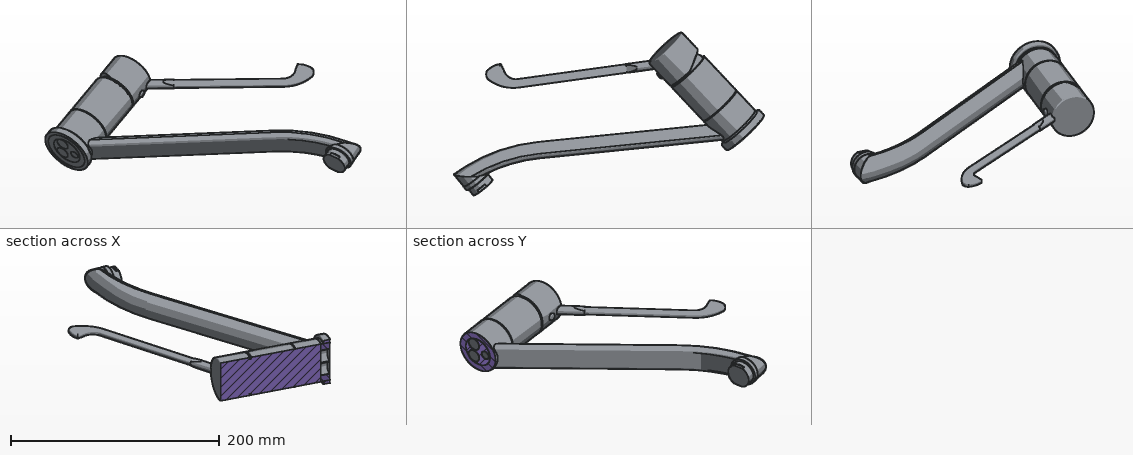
import cadquery as cq
import math


column_radius = 43.2 / 2
flange_radius = 49.5 / 2
flange_height = 7.0
flange_rounding = 1.0
column_top = 81.0
groove_height = 35.5
groove_width = 0.8
groove_depth = 0.3

neck_radius = 20.0
neck_top = 91.3
neck_rounding = neck_top - column_top

cap_bottom = 82.5
cap_top = 112.8
cap_rounding = 1.3
relief_start_x = -4.1
relief_rise = 7.5
button_height = 96.2
button_radius = 3.5
button_face_x = 23.3
button_rounding = 0.8

recess_radius = 21.0
recess_depth = 9.0
plug_floor = 0.65
shank_radius = 15.0
hose_hole_radius = 6.2
hose_hole_x = -5.0
hose_hole_z = 7.0
stud_hole_radius = 4.1
stud_hole_x = 8.8

spout_angle = 36.9
spout_bend = 32.0
spout_start = (13.0, 5.7)
spout_straight = 185.0
spout_bend_radius = 145.0
spout_half_width = 13.7
spout_corner_width = 4.1
spout_corner_height = 5.5
spout_height = 14.2

outlet_x = 220.2
outlet_tilt = 4.0
sleeve_radius = 13.7
lip_radius = 14.0
lip_height = 4.7
sleeve_bottom = 139.2
sleeve_length = 41.5
mitre_corner = (231.8, 158.9)
mitre_angle = 42.0
mitre_reach = 54.3
nozzle_radius = 12.0
nozzle_length = 8.0
nozzle_flat_width = 9.3
nozzle_flat_height = 2.8

lever_start = (15.5, 105.3)
lever_angle = 34.8
rod_radius = 4.5
blade_width = 8.3
blade_thickness = 4.7
blade_rounding = 1.5
taper_start = 20.5
taper_length = 10.5
blade_start = taper_start + taper_length / 2
blade_end = 135.8
head_outer_radius = 38.8
head_outer_turn = 45.0
head_inner_radius = 12.0
head_inner_turn = 84.0
head_top_start = (141.0, 212.0)
head_top_mid = (135.0, 211.6)
head_tip = (126.5, 208.0)


def direction(angle):
    """Unit vector in the XY plane at an angle from +X."""
    return math.cos(math.radians(angle)), math.sin(math.radians(angle))


def step(start, angle, along, across=0.0):
    """The point reached from start by moving along a direction and to its left."""
    cosine, sine = direction(angle)
    return (
        start[0] + along * cosine - across * sine,
        start[1] + along * sine + across * cosine,
    )


def upright(radius, bottom, top, x=0.0, z=0.0):
    """A cylinder parallel to Y."""
    return cq.Workplane("XZ", origin=(x, bottom, z)).circle(radius).extrude(bottom - top)


def section_plane(point, angle):
    """Plane across a path in the XY plane, with its local y to the left of the path."""
    return cq.Plane(origin=(*point, 0), xDir=(0, 0, -1), normal=(*direction(angle), 0))


def make_column():
    """Flanged column with a fine groove, and the domed neck that carries the cap."""
    flange = upright(flange_radius, 0, flange_height).faces(">Y").edges().fillet(flange_rounding)
    groove_top = groove_height + groove_width
    groove = upright(column_radius, groove_height, groove_top)
    groove = groove.cut(upright(column_radius - groove_depth, groove_height, groove_top))
    neck = upright(neck_radius, 0, neck_top).faces(">Y").edges().fillet(neck_rounding)
    return upright(column_radius, 0, column_top).cut(groove).union(flange).union(neck)


def make_cap():
    """Cap with a sloping relief under its -X side and a button on its +X side."""
    cap = upright(column_radius, cap_bottom, cap_top).faces(">Y").edges().fillet(cap_rounding)
    relief = (
        cq.Workplane("XY")
        .moveTo(relief_start_x, cap_bottom)
        .lineTo(-column_radius, cap_bottom + relief_rise)
        .lineTo(-column_radius, cap_bottom)
        .close()
        .extrude(column_radius, both=True)
    )
    button = (
        cq.Workplane("YZ", origin=(0, button_height, 0))
        .circle(button_radius)
        .extrude(button_face_x)
        .faces(">X")
        .edges()
        .fillet(button_rounding)
    )
    return cap.cut(relief).union(button)


def mitre_half(side):
    """Half-space block left (+1) or right (-1) of the mitre line at the spout's end."""
    return (
        cq.Workplane("XY")
        .polyline([
            step(mitre_corner, mitre_angle, -mitre_reach),
            step(mitre_corner, mitre_angle, mitre_reach),
            step(mitre_corner, mitre_angle, mitre_reach, side * mitre_reach),
            step(mitre_corner, mitre_angle, -mitre_reach, side * mitre_reach),
        ])
        .close()
        .extrude(mitre_reach, both=True)
    )


def make_spout():
    """Straight tube with a bent end, swept along its flat underside."""
    bend_start = step(spout_start, spout_angle, spout_straight)
    bend_centre = step(bend_start, spout_angle, 0, -spout_bend_radius)

    def on_bend(turned):
        return step(bend_centre, spout_angle - turned, 0, spout_bend_radius)

    path = (
        cq.Workplane("XY")
        .moveTo(*spout_start)
        .lineTo(*bend_start)
        .threePointArc(on_bend(spout_bend / 2), on_bend(spout_bend))
    )
    flat_half_width = spout_half_width - spout_corner_width
    corner_inset = 1 - math.sqrt(0.5)
    corner_mid_x = spout_half_width - corner_inset * spout_corner_width
    corner_mid_y = corner_inset * spout_corner_height
    tube = (
        cq.Workplane(section_plane(spout_start, spout_angle))
        .moveTo(-flat_half_width, 0)
        .lineTo(flat_half_width, 0)
        .threePointArc((corner_mid_x, corner_mid_y), (spout_half_width, spout_corner_height))
        .threePointArc((0, spout_height), (-spout_half_width, spout_corner_height))
        .threePointArc((-corner_mid_x, corner_mid_y), (-flat_half_width, 0))
        .close()
        .sweep(path)
    )
    return tube.cut(mitre_half(-1))


def make_outlet():
    """Tilted sleeve that meets the spout at a mitre, a lip round its mouth and a flatted nozzle."""
    axis_angle = 90 + outlet_tilt
    nozzle_bottom = step((outlet_x, sleeve_bottom), axis_angle, -nozzle_length)
    mouth_plane = section_plane((outlet_x, sleeve_bottom), axis_angle)
    lip = cq.Workplane(mouth_plane).circle(lip_radius).extrude(lip_height)
    sleeve = (
        cq.Workplane(mouth_plane)
        .circle(sleeve_radius)
        .extrude(sleeve_length)
        .cut(mitre_half(1))
    )
    nozzle_plane = section_plane(nozzle_bottom, axis_angle)
    flat_offset = math.sqrt(nozzle_radius**2 - (nozzle_flat_width / 2) ** 2)
    flatted_end = (
        cq.Workplane(nozzle_plane)
        .rect(2 * flat_offset, 2 * nozzle_radius)
        .extrude(nozzle_flat_height)
    )
    rim = cq.Workplane(nozzle_plane).circle(nozzle_radius).extrude(nozzle_flat_height)
    nozzle = cq.Workplane(nozzle_plane).circle(nozzle_radius).extrude(nozzle_length + lip_height)
    nozzle = nozzle.cut(rim.cut(flatted_end))
    return sleeve.union(lip).union(nozzle)


def make_rod():
    """Round rod thinned by a slope on its +Z and -Z sides."""
    length = taper_start + taper_length
    rod = cq.Workplane(section_plane(lever_start, lever_angle)).circle(rod_radius).extrude(length)
    half_blade = blade_thickness / 2
    profile_plane = cq.Plane(
        origin=(*lever_start, 0),
        xDir=(*direction(lever_angle), 0),
        normal=(*direction(lever_angle - 90), 0),
    )
    envelope = (
        cq.Workplane(profile_plane)
        .polyline([
            (0, -rod_radius),
            (taper_start, -rod_radius),
            (length, -half_blade),
            (length, half_blade),
            (taper_start, rod_radius),
            (0, rod_radius),
        ])
        .close()
        .extrude(rod_radius, both=True)
    )
    return rod.intersect(envelope)


def make_blade():
    """Flat blade with rounded edges whose end curls up into the head."""
    half_width = blade_width / 2

    def corner(along, across):
        return step(lever_start, lever_angle, along, across)

    def on_head(start, radius, turned):
        """Point on an arc that leaves the blade's edge at start and curls to the left."""
        centre = step(start, lever_angle, 0, radius)
        return step(centre, lever_angle + turned, 0, -radius)

    outer_start = corner(blade_end, -half_width)
    inner_start = corner(blade_end, half_width)
    blade = (
        cq.Workplane("XY", origin=(0, 0, -blade_thickness / 2))
        .moveTo(*corner(blade_start, -half_width))
        .lineTo(*outer_start)
        .threePointArc(
            on_head(outer_start, head_outer_radius, head_outer_turn / 2),
            on_head(outer_start, head_outer_radius, head_outer_turn),
        )
        .tangentArcPoint(head_top_start, relative=False)
        .threePointArc(head_top_mid, head_tip)
        .lineTo(*on_head(inner_start, head_inner_radius, head_inner_turn))
        .threePointArc(on_head(inner_start, head_inner_radius, head_inner_turn / 2), inner_start)
        .lineTo(*corner(blade_start, half_width))
        .close()
        .extrude(blade_thickness)
    )
    return blade.faces("|Z").edges().fillet(blade_rounding)


def make_tap():
    """The whole tap, with a ring-shaped recess and three blind holes in its foot."""
    tap = make_column().union(make_cap()).union(make_spout()).union(make_outlet())
    tap = tap.union(make_rod()).union(make_blade())

    recess = upright(recess_radius, 0, recess_depth)
    shank = upright(shank_radius, plug_floor, recess_depth)
    tap = tap.cut(recess.cut(shank))
    tap = tap.cut(upright(stud_hole_radius, plug_floor, recess_depth, x=stud_hole_x))
    for side in (-1, 1):
        hose_hole = upright(
            hose_hole_radius, plug_floor, recess_depth, x=hose_hole_x, z=side * hose_hole_z
        )
        tap = tap.cut(hose_hole)
    return tap


def make_base_plug():
    """Cup with a thin floor that fits around the shank."""
    shank_pocket = upright(shank_radius, plug_floor, recess_depth)
    return upright(recess_radius, 0, recess_depth).cut(shank_pocket)


tap = make_tap()
base_plug = make_base_plug()

result = cq.Compound.makeCompound([tap.val(), base_plug.val()])